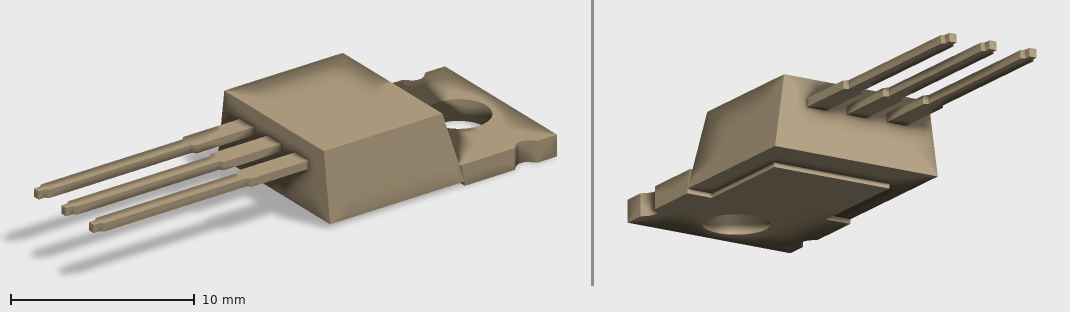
import cadquery as cq
import math

total_length = 29.35
total_width = 10.42
total_height = 4.45

tab_back = 15.23
tab_thickness = 1.32
slug_width = 7.34
slug_front = 2.52
hole_diameter = 3.67
hole_from_back = 2.85

notch_from_back = 2.08
notch_mouth_half = 0.75
notch_chamfer = 0.32
notch_floor_width = 0.1

housing_bottom = 0.25
housing_back_bottom = 9.05
housing_back_top = 7.95
housing_top_width = 9.25

lead_count = 3
lead_pitch = 2.55
lead_bottom = 2.82
lead_thickness = 0.5
lead_length = total_length - tab_back
shoulder_width = 1.25
shoulder_length = 3.78
blade_width = 0.82
tip_width = 0.45
tip_length = 0.4

half_width = total_width / 2


def make_housing_block():
    """Block with tapered sides and a back wall that leans toward the front."""
    height = total_height - housing_bottom
    side_inset = (total_width - housing_top_width) / 2
    side_profile = (
        cq.Workplane("YZ")
        .polyline([
            (0, housing_bottom),
            (housing_back_bottom, housing_bottom),
            (housing_back_top, total_height),
            (0, total_height),
        ])
        .close()
        .extrude(half_width, both=True)
    )
    front_profile = (
        cq.Workplane("XZ")
        .polyline([
            (-half_width, housing_bottom),
            (half_width, housing_bottom),
            (half_width - side_inset, housing_bottom + height),
            (side_inset - half_width, housing_bottom + height),
        ])
        .close()
        .extrude(-housing_back_bottom)
    )
    return side_profile.intersect(front_profile)


def make_notch(side):
    """Cutter for an edge notch with 45 degree flanks blended into a short flat floor."""
    center = tab_back - notch_from_back
    floor_half = notch_mouth_half - notch_chamfer
    edge = side * half_width
    flank_end = side * (half_width - notch_chamfer)
    flat_half = notch_floor_width / 2
    blend_length = floor_half - flat_half
    blend_depth = blend_length * math.tan(math.radians(45 / 2))
    floor = side * (half_width - notch_chamfer - blend_depth)
    return (
        cq.Workplane("XY")
        .moveTo(edge, center - notch_mouth_half)
        .lineTo(flank_end, center - floor_half)
        .tangentArcPoint((floor, center - flat_half), relative=False)
        .lineTo(floor, center + flat_half)
        .tangentArcPoint((flank_end, center + floor_half), relative=False)
        .lineTo(edge, center + notch_mouth_half)
        .close()
        .extrude(tab_thickness)
    )


def make_tab():
    """Notched mounting plate with a narrower slug reaching under the housing."""
    wall_lean = (housing_back_bottom - housing_back_top) / (total_height - housing_bottom)
    plate_top_front = housing_back_bottom - wall_lean * (tab_thickness - housing_bottom)
    plate = (
        cq.Workplane("YZ")
        .polyline([
            (tab_back, 0),
            (tab_back, tab_thickness),
            (plate_top_front, tab_thickness),
            (housing_back_bottom, housing_bottom),
            (housing_back_bottom, 0),
        ])
        .close()
        .extrude(half_width, both=True)
    )
    slug = cq.Workplane("XY").box(
        slug_width, tab_back - slug_front, tab_thickness, centered=(True, False, False)
    ).translate((0, slug_front, 0))
    hole = (
        cq.Workplane("XY")
        .center(0, tab_back - hole_from_back)
        .circle(hole_diameter / 2)
        .extrude(tab_thickness)
    )
    body = plate.union(slug).cut(hole)
    for side in (-1, 1):
        body = body.cut(make_notch(side))
    return body


def make_lead(x):
    """Flat lead that steps down from shoulder to blade to tip at 45 degrees."""
    shoulder = shoulder_width / 2
    blade = blade_width / 2
    tip = tip_width / 2
    blade_start = -shoulder_length - (shoulder - blade)
    tip_start = tip_length - lead_length
    right_edge = [
        (shoulder, 0),
        (shoulder, -shoulder_length),
        (blade, blade_start),
        (blade, tip_start + (blade - tip)),
        (tip, tip_start),
        (tip, -lead_length),
    ]
    left_edge = [(-px, py) for px, py in reversed(right_edge)]
    return (
        cq.Workplane("XY")
        .polyline(right_edge + left_edge)
        .close()
        .extrude(lead_thickness)
        .translate((x, 0, lead_bottom))
    )


tab = make_tab()
housing = make_housing_block().cut(tab)
leads = []
for index in range(lead_count):
    lead_x = (index - (lead_count - 1) / 2) * lead_pitch
    leads.append(make_lead(lead_x).val())

result = cq.Compound.makeCompound([tab.solids().val(), housing.solids().val(), *leads])